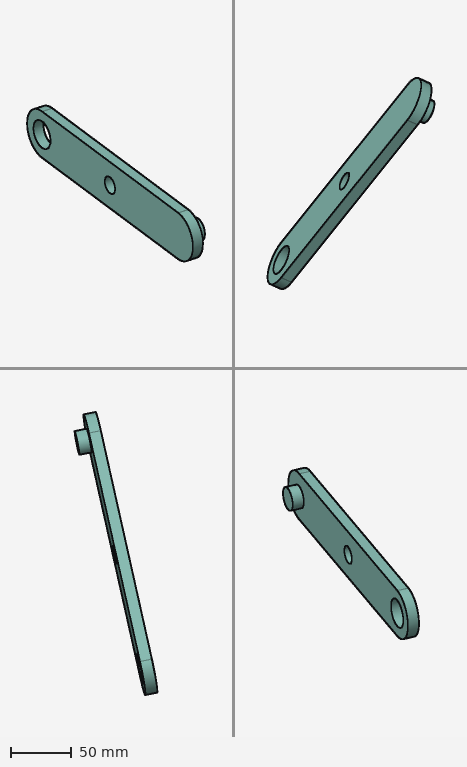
import cadquery as cq

length = 244.0
width = 44.0
thickness = 10.0
end_center = (length - width) / 2

pivot_hole_diameter = 25.0
middle_hole_diameter = 15.1

pin_diameter = 20.0
pin_height = 10.0


def cylinder_along_y(x, diameter, start_y, depth):
    """Cylinder centered on (x, Z = 0), running toward +Y from start_y."""
    base = cq.Vector(x, start_y, 0)
    return cq.Workplane(cq.Solid.makeCylinder(diameter / 2, depth, base, cq.Vector(0, 1, 0)))


bar = cq.Workplane("XZ").slot2D(length, width).extrude(-thickness)
pivot_hole = cylinder_along_y(-end_center, pivot_hole_diameter, 0, thickness)
middle_hole = cylinder_along_y(0, middle_hole_diameter, 0, thickness)
pin = cylinder_along_y(end_center, pin_diameter, thickness, pin_height)

result = bar.cut(pivot_hole).cut(middle_hole).union(pin)